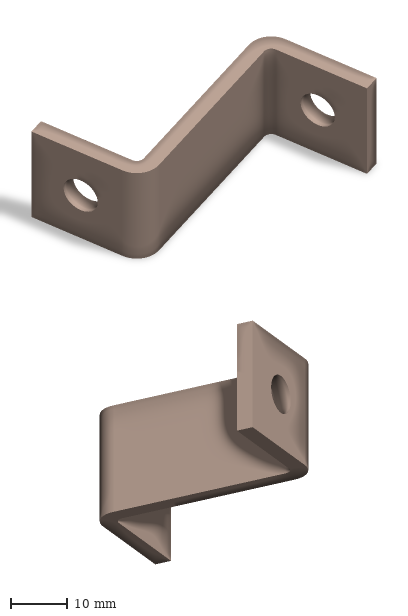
import cadquery as cq

length = 44.4
height = 20.65

thickness = 3.2
inner_radius = 1.5
outer_radius = inner_radius + thickness

hole_diameter = 7.15
hole_inset = height / 2

half_length = length / 2
half_thickness = thickness / 2
flange_inner_y = half_length - thickness


def bracket_body():
    """Sharp Z profile extruded upward, then rounded at both bends."""
    half_profile = [
        (half_thickness, -half_length),
        (half_thickness, flange_inner_y),
        (half_length, flange_inner_y),
        (half_length, half_length),
        (-half_thickness, half_length),
    ]
    opposite_half = [(-x, -y) for x, y in half_profile]
    outline = half_profile + opposite_half[1:4]
    body = cq.Workplane("XY").polyline(outline).close().extrude(height)

    for side in (1, -1):
        outer_corner = (-side * half_thickness, side * half_length, height / 2)
        inner_corner = (side * half_thickness, side * flange_inner_y, height / 2)
        body = body.edges(cq.NearestToPointSelector(outer_corner)).fillet(outer_radius)
        body = body.edges(cq.NearestToPointSelector(inner_corner)).fillet(inner_radius)
    return body


def flange_holes():
    """One cutter along Y for each flange."""
    hole_x = half_length - hole_inset
    return (
        cq.Workplane("XZ")
        .pushPoints([(-hole_x, height / 2), (hole_x, height / 2)])
        .circle(hole_diameter / 2)
        .extrude(half_length, both=True)
    )


result = bracket_body().cut(flange_holes())